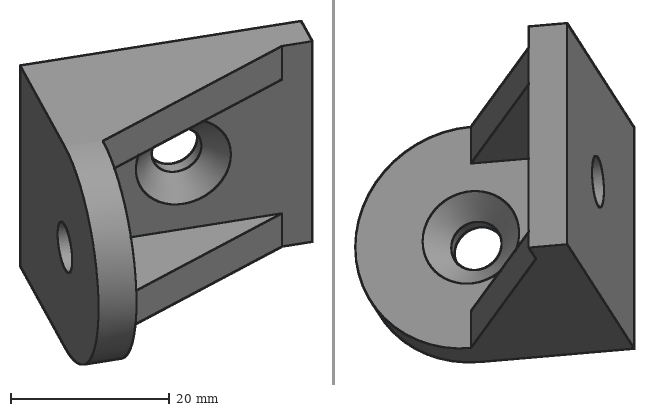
import cadquery as cq

wall_length = 37.0
width = 30.0
plate_thickness = 5.0
rib_thickness = 5.0
hole_diameter = 6.5
countersink_diameter = 12.5
hole_offset = 20.0
wall_tip = 4.0

end_radius = width / 2
mid_height = width / 2
countersink_depth = (countersink_diameter - hole_diameter) / 2


def make_foot():
    """Plate along X with a fully rounded end."""
    return (
        cq.Workplane("XZ")
        .moveTo(0, 0)
        .lineTo(hole_offset, 0)
        .threePointArc((hole_offset + end_radius, mid_height), (hole_offset, width))
        .lineTo(0, width)
        .close()
        .extrude(-plate_thickness)
    )


def make_wall():
    """Rectangular plate along Y."""
    return cq.Workplane("XY").box(plate_thickness, wall_length, width, centered=False)


def make_rib(base_height):
    """Sloped side rib joining the two plates."""
    return (
        cq.Workplane("XY", origin=(0, 0, base_height))
        .polyline([
            (0, 0),
            (hole_offset, 0),
            (hole_offset, plate_thickness),
            (plate_thickness, wall_length - wall_tip),
            (0, wall_length - wall_tip),
        ])
        .close()
        .extrude(rib_thickness)
    )


def make_countersunk_hole(plane):
    """Cutter through one plate, with its countersink opening on the inner face."""
    inward = -1 if plane == "XZ" else 1
    hole = (
        cq.Workplane(plane)
        .center(hole_offset, mid_height)
        .circle(hole_diameter / 2)
        .extrude(inward * plate_thickness)
    )
    countersink = (
        cq.Workplane(plane)
        .workplane(offset=inward * (plate_thickness - countersink_depth))
        .center(hole_offset, mid_height)
        .circle(hole_diameter / 2)
        .workplane(offset=inward * countersink_depth)
        .circle(countersink_diameter / 2)
        .loft(ruled=True)
    )
    return hole.union(countersink)


bracket = make_foot().union(make_wall())
for base_height in (0, width - rib_thickness):
    bracket = bracket.union(make_rib(base_height))

for plane in ("XZ", "YZ"):
    bracket = bracket.cut(make_countersunk_hole(plane))

result = bracket